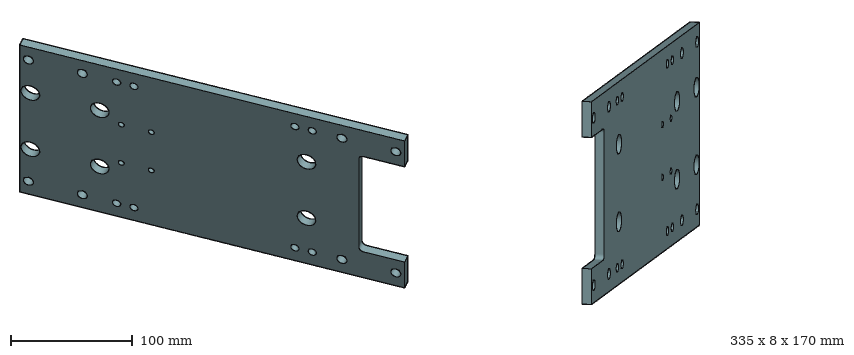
import cadquery as cq

length = 335.0
thickness = 8.0
height = 170.0

notch_depth = 40.0
notch_height = 110.0
notch_corner_radius = 4.0

mounting_diameter = 8.7
paired_diameter = 7.0
large_diameter = 16.0
small_diameter = 5.0

outer_row_offset = 70.0
large_row_offset = 32.5
small_row_offset = 22.0

end_hole_inset = 7.7
inner_hole_inset = 54.5
mounting_places = [
    end_hole_inset,
    inner_hole_inset,
    length - inner_hole_inset,
    length - end_hole_inset,
]
pair_spacing = 15.0
pair_starts = [84.5, 239.5]
paired_places = [start + step for start in pair_starts for step in (0, pair_spacing)]
large_places = [9.5, 69.7, 249.5]
small_places = [88.5, 114.5]


def make_plate():
    return cq.Workplane("XY").box(length, thickness, height)


def cut_notch(plate):
    cutter = (
        cq.Workplane("XY")
        .box(2 * notch_depth, 2 * thickness, notch_height)
        .edges("|Y")
        .fillet(notch_corner_radius)
        .translate((length / 2, 0, 0))
    )
    return plate.cut(cutter)


def cut_hole_rows(plate, places, row_offset, diameter):
    """Drill matching rows of through holes above and below mid-height."""
    points = [(x - length / 2, side * row_offset) for x in places for side in (-1, 1)]
    drills = (
        cq.Workplane("XZ", origin=(0, thickness, 0))
        .pushPoints(points)
        .circle(diameter / 2)
        .extrude(2 * thickness)
    )
    return plate.cut(drills)


result = cut_notch(make_plate())
result = cut_hole_rows(result, mounting_places, outer_row_offset, mounting_diameter)
result = cut_hole_rows(result, paired_places, outer_row_offset, paired_diameter)
result = cut_hole_rows(result, large_places, large_row_offset, large_diameter)
result = cut_hole_rows(result, small_places, small_row_offset, small_diameter)